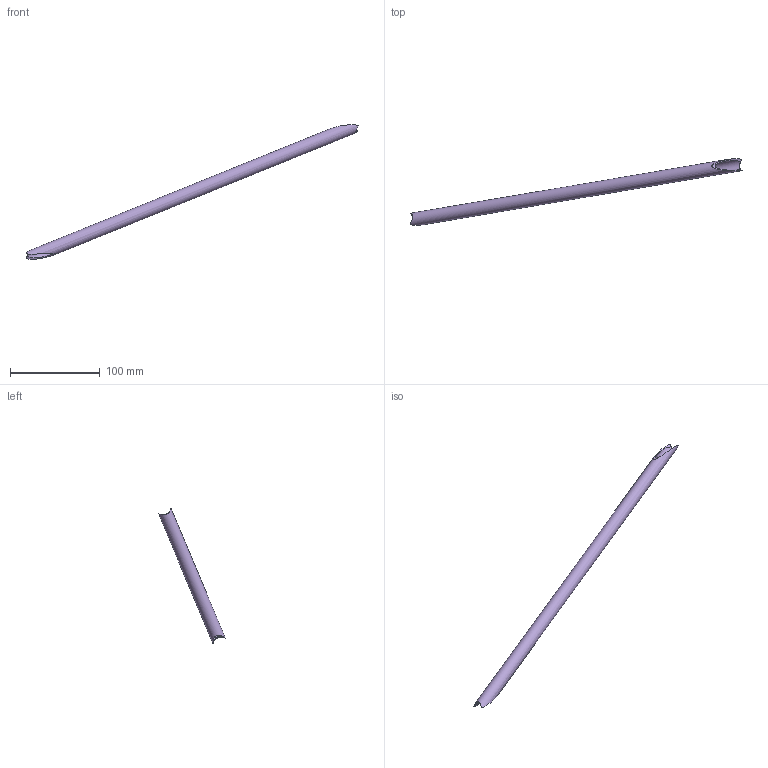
import cadquery as cq
import math

BRACE_DIAMETER = 15.0
WALL = 1.5
FRAME_TUBE_DIAMETER = 19.0

CORNER_SPAN_X = 382.74
CORNER_SPAN_Z = 168.02
ROLL_ANGLE = 22.72

BRACE_RADIUS = BRACE_DIAMETER / 2
BORE_RADIUS = BRACE_RADIUS - WALL
FRAME_TUBE_RADIUS = FRAME_TUBE_DIAMETER / 2
CORNER_DISTANCE = math.hypot(CORNER_SPAN_X, CORNER_SPAN_Z)

X_AXIS = cq.Vector(1, 0, 0)
Z_AXIS = cq.Vector(0, 0, 1)
BRACE_AXIS = cq.Vector(CORNER_SPAN_X, 0, CORNER_SPAN_Z).normalized()


def centered_cylinder(radius, center, direction):
    """Solid cylinder as long as the corner distance, centered on a point."""
    start = center - direction * (CORNER_DISTANCE / 2)
    return cq.Workplane(cq.Solid.makeCylinder(radius, CORNER_DISTANCE, start, direction))


def brace_stock():
    """Uncut tube from corner to corner."""
    center = cq.Vector(0, 0, 0)
    outside = centered_cylinder(BRACE_RADIUS, center, BRACE_AXIS)
    bore = centered_cylinder(BORE_RADIUS, center, BRACE_AXIS)
    return outside.cut(bore)


def cope_end(tube, side):
    """Cut the end on the given side (-1 or +1) to the two frame tubes crossing at its corner."""
    corner = BRACE_AXIS * (side * CORNER_DISTANCE / 2)
    for direction in (X_AXIS, Z_AXIS):
        frame_tube = centered_cylinder(FRAME_TUBE_RADIUS, corner, direction)
        tube = tube.cut(frame_tube)
    return tube


def longest_piece(tube):
    """Drop any offcuts left beyond the copes."""
    return cq.Workplane(max(tube.solids().vals(), key=lambda solid: solid.Volume()))


brace = brace_stock()
for side in (-1, 1):
    brace = cope_end(brace, side)
brace = longest_piece(brace)

result = brace.rotate((0, 0, 0), (1, 0, 0), -ROLL_ANGLE)